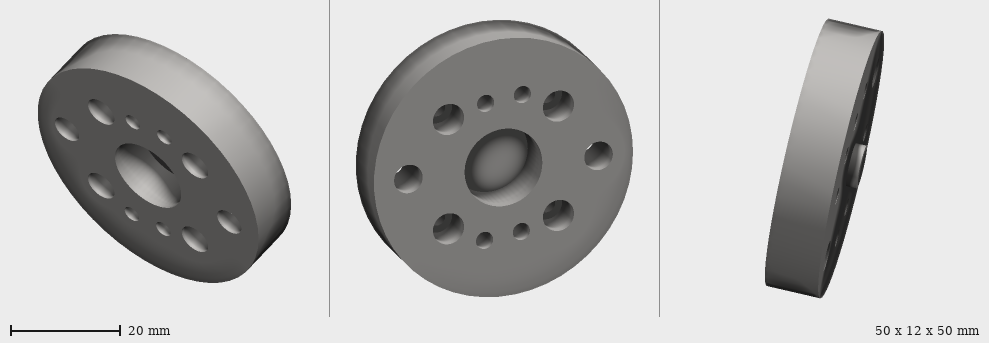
import cadquery as cq

disc_diameter = 50.0
disc_thickness = 10.0
boss_diameter = 8.0
boss_height = 2.0

pocket_diameter = 15.0
pocket_depth = 8.0

screw_circle_diameter = 30.0
screw_hole_diameter = 3.3
counterbore_diameter = 6.0
counterbore_depth = 6.5

side_hole_diameter = 5.5
side_hole_offset = 18.35
pin_hole_diameter = 3.3
inner_pin_x = 3.45
inner_pin_z = 12.85
outer_pin_x = 3.65
outer_pin_z = 13.7


def front_cylinders(points, diameter, depth):
    """Cylinders running from the front face toward +Y at (x, z) points."""
    front = cq.Workplane("XZ").pushPoints(points)
    return front.circle(diameter / 2).extrude(-depth)


centre = [(0, 0)]
screw_offset = screw_circle_diameter / 2 / 2**0.5
screw_points = [(sx * screw_offset, sz * screw_offset) for sx in (-1, 1) for sz in (-1, 1)]
side_points = [(-side_hole_offset, 0), (side_hole_offset, 0)]
pin_points = []
for side in (-1, 1):
    pin_points.append((-side * inner_pin_x, side * inner_pin_z))
    pin_points.append((side * outer_pin_x, side * outer_pin_z))

disc = front_cylinders(centre, disc_diameter, disc_thickness)
boss = front_cylinders(centre, boss_diameter, disc_thickness + boss_height)
result = disc.union(boss)

result = result.cut(front_cylinders(centre, pocket_diameter, pocket_depth))
result = result.cut(front_cylinders(screw_points, screw_hole_diameter, disc_thickness))
result = result.cut(front_cylinders(screw_points, counterbore_diameter, counterbore_depth))
result = result.cut(front_cylinders(side_points, side_hole_diameter, disc_thickness))
result = result.cut(front_cylinders(pin_points, pin_hole_diameter, disc_thickness))